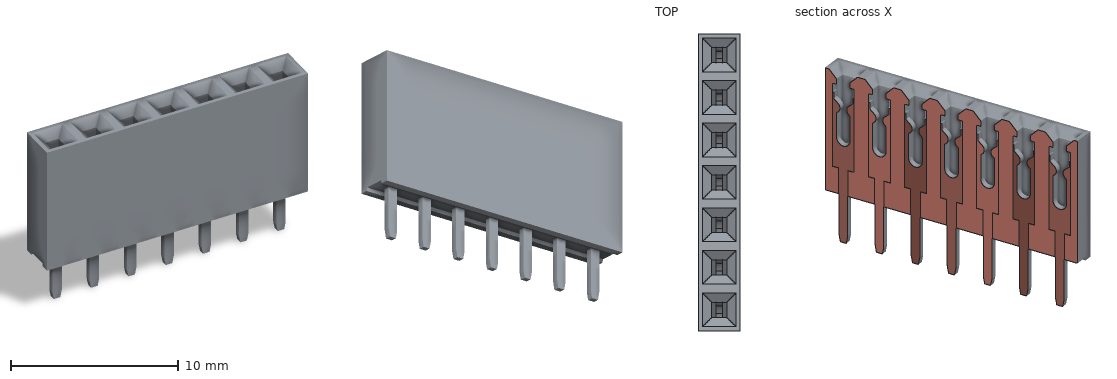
import cadquery as cq
import math


contact_count = 7
row_length = 17.78
pitch = row_length / contact_count
contact_y = [(i - (contact_count - 1) / 2) * pitch for i in range(contact_count)]

housing_width = 2.5
housing_height = 8.5

channel_depth = 0.21
channel_mouth_width = 1.45
channel_roof_width = 1.35

mouth_size = 2.01
socket_size = 0.9
funnel_depth = (mouth_size - socket_size) / 2
funnel_bottom_z = housing_height - funnel_depth
socket_floor_z = 2.0

sheet_thickness = 0.4
fork_width = 1.5
fork_top_z = 7.02
fork_slot_radius = 0.46
fork_slot_bottom_z = 3.55
neck_gap = 0.45
nose_radius = 0.37
nose_z = 6.05
lead_in_angle = 40.0
lead_in_gap = 1.32

pin_width = 0.64
pin_length = 3.0
tip_width = 0.45
tip_length = 0.5

wall_slot_drop = 0.37
wall_slot_top_z = funnel_bottom_z - wall_slot_drop


def block(size_x, size_y, z_bottom, z_top):
    """Upright block centred on the Z axis."""
    return cq.Workplane("XY").workplane(offset=z_bottom).rect(size_x, size_y).extrude(z_top - z_bottom)


def make_channel():
    """Flared channel along the whole underside of the housing."""
    mouth = channel_mouth_width / 2
    roof = channel_roof_width / 2
    return (
        cq.Workplane("XZ")
        .polyline([(-mouth, 0), (-roof, channel_depth), (roof, channel_depth), (mouth, 0)])
        .close()
        .extrude(row_length / 2, both=True)
    )


def make_socket():
    """Space for one contact: funnel, square socket, arm slots and the hole for the pin."""
    funnel = (
        cq.Workplane("XY")
        .workplane(offset=funnel_bottom_z)
        .rect(socket_size, socket_size)
        .workplane(offset=funnel_depth)
        .rect(mouth_size, mouth_size)
        .loft(ruled=True)
    )
    square = block(socket_size, socket_size, socket_floor_z, funnel_bottom_z)
    arm_slots = block(sheet_thickness, fork_width, socket_floor_z, wall_slot_top_z)
    pin_hole = block(sheet_thickness, pin_width, 0, socket_floor_z)
    return funnel.union(square).union(arm_slots).union(pin_hole)


def make_housing():
    housing = block(housing_width, row_length, 0, housing_height).cut(make_channel())
    socket = make_socket()
    for y in contact_y:
        housing = housing.cut(socket.translate((0, y, 0)))
    return housing


def make_fork_gap():
    """Gap between the arms: round bottom, a neck between two rounded noses, then a flared mouth."""
    angle = math.radians(lead_in_angle)
    neck_y = neck_gap / 2
    nose_end_y = neck_y + nose_radius * (1 - math.sin(angle))
    nose_end_rise = nose_radius * math.cos(angle)
    mouth_y = lead_in_gap / 2
    lead_in_rise = nose_end_rise + (mouth_y - nose_end_y) * math.tan(angle)
    relief_drop = nose_end_rise + (fork_slot_radius - nose_end_y) * math.tan(angle)
    arc_z = fork_slot_bottom_z + fork_slot_radius
    return (
        cq.Workplane("YZ")
        .moveTo(-fork_slot_radius, arc_z)
        .threePointArc((0, fork_slot_bottom_z), (fork_slot_radius, arc_z))
        .lineTo(fork_slot_radius, nose_z - relief_drop)
        .lineTo(nose_end_y, nose_z - nose_end_rise)
        .threePointArc((neck_y, nose_z), (nose_end_y, nose_z + nose_end_rise))
        .lineTo(mouth_y, nose_z + lead_in_rise)
        .lineTo(mouth_y, fork_top_z)
        .lineTo(-mouth_y, fork_top_z)
        .lineTo(-mouth_y, nose_z + lead_in_rise)
        .lineTo(-nose_end_y, nose_z + nose_end_rise)
        .threePointArc((-neck_y, nose_z), (-nose_end_y, nose_z - nose_end_rise))
        .lineTo(-fork_slot_radius, nose_z - relief_drop)
        .close()
        .extrude(sheet_thickness / 2, both=True)
    )


def make_contact(y):
    """One contact: fork inside the housing, pin with a tapered tip below it."""
    fork = block(sheet_thickness, fork_width, socket_floor_z, fork_top_z).cut(make_fork_gap())
    pin_side = pin_width / 2
    tip_side = tip_width / 2
    tip_start_z = tip_length - pin_length
    pin = (
        cq.Workplane("YZ")
        .polyline([
            (-pin_side, socket_floor_z),
            (-pin_side, tip_start_z),
            (-tip_side, -pin_length),
            (tip_side, -pin_length),
            (pin_side, tip_start_z),
            (pin_side, socket_floor_z),
        ])
        .close()
        .extrude(sheet_thickness / 2, both=True)
    )
    return fork.union(pin).translate((0, y, 0))


housing = make_housing()
contacts = [make_contact(y) for y in contact_y]
result = cq.Compound.makeCompound([housing.val(), *[contact.val() for contact in contacts]])